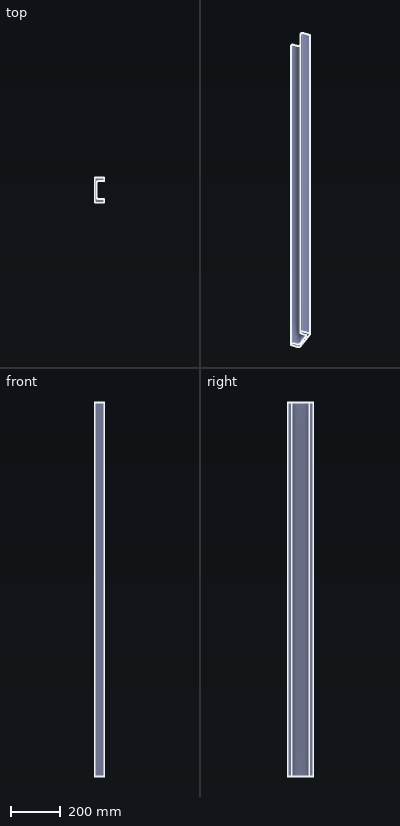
import cadquery as cq

depth = 40.0
width = 102.8
length = 1500.0
web_thickness = 9.6
flange_thickness = 15.8
root_radius = 5.5
outer_radius = 6.0
inner_tip_radius = 3.0

back_x = -depth / 2
tip_x = depth / 2
web_inner_x = back_x + web_thickness
outer_y = width / 2
flange_inner_y = outer_y - flange_thickness

pick_margin = 0.1


def channel_blank():
    """Sharp-cornered channel along Z, open toward +X."""
    block = cq.Workplane("XY").box(depth, width, length)
    opening = (
        cq.Workplane("XY")
        .box(depth, 2 * flange_inner_y, length)
        .translate((web_thickness, 0, 0))
    )
    return block.cut(opening)


def round_edge_pair(body, x, y, radius):
    """Fillet the lengthwise edges at (x, y) and (x, -y)."""
    for edge_y in (y, -y):
        edge_box = cq.selectors.BoxSelector(
            (x - pick_margin, edge_y - pick_margin, -length),
            (x + pick_margin, edge_y + pick_margin, length),
        )
        body = body.edges("|Z").edges(edge_box).fillet(radius)
    return body


channel = channel_blank()
channel = round_edge_pair(channel, web_inner_x, flange_inner_y, root_radius)
channel = round_edge_pair(channel, back_x, outer_y, outer_radius)
channel = round_edge_pair(channel, tip_x, outer_y, outer_radius)
channel = round_edge_pair(channel, tip_x, flange_inner_y, inner_tip_radius)

result = channel